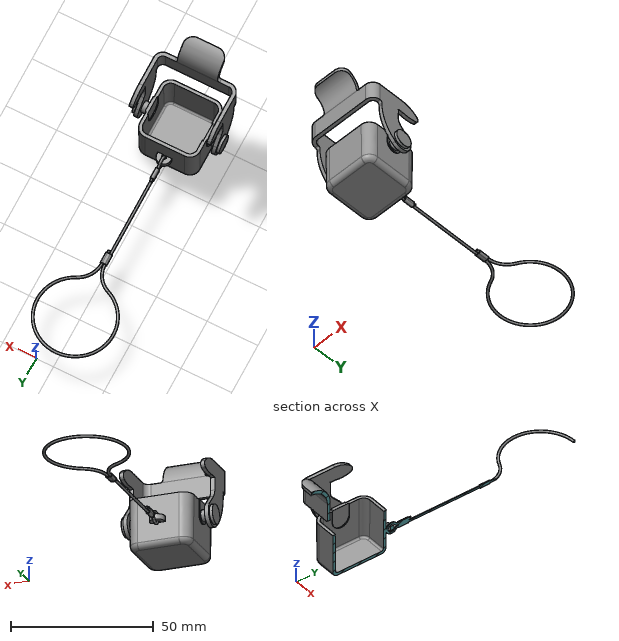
import cadquery as cq
import math


cap_width = 23.8
cap_height = 18.9
cap_corner_radius = 4.1
cap_draft = 0.4
cap_bottom_fillet = 2.1
wall = 1.3
cavity_draft = 0.5
cavity_fillet = 0.8
floor_thickness = 1.4

hinge_z = 13.8
pin_diameter = 4.4
pin_head_diameter = 7.2
pin_span = 34.3
pad_span = 24.5
pad_radius = 3.0
pad_recess_radius = 3.7
pad_recess_depth = 0.4

lever_span = 32.1
sheet = 1.5
lever_front_y = -14.4
lever_top_z = 34.5
band_bottom_z = 26.4
bend_radius = 3.6
eye_radius = 4.5
arm_back_y = -1.6
arm_front_y = -9.8
arm_round_z = 23.7
arm_back_radius = 4.1
arm_notch_radius = 0.9
arm_curve_z = 24.7
arm_front_bow = (-8.4, 17.4)
beak_start = (0, lever_top_z)
beak_crest = (4.0, 33.8)
beak_tip_top = (7.6, 31.4)
beak_tip = (8.1, 29.9)
beak_tip_bottom = (7.0, 28.9)
beak_belly = (3.5, 28.3)
beak_end = (0.7, 28.5)

tab_width = 15.9
tab_foot = 0.9
tab_radius = 8.5
tab_tip_y = lever_front_y + sheet - tab_radius
tab_top_z = lever_top_z + tab_radius
tab_corner_radius = 3.9

wire_diameter = 1.0
wire_z = 9.0
strand_gap = 1.11
ferrule_length = 4.3
ferrule_diameter = 1.5
strand_tail = 1.0
lug_radius = 2.8
lug_y = 12.5
lug_thickness = 2.0
lug_hole_diameter = 1.8
lug_hole_y = 12.6
small_loop_radius = 2.0
small_loop_y = 14.3
small_ferrule_y = 17.4
big_loop_radius = 15.0
big_loop_x = 0.18
big_ferrule_y = 57.7
tether_end_y = tab_tip_y + 116.8


def rounded_prism(width, radius, height, draft):
    """Square prism hanging down from the cap rim, narrowing by the draft angle."""
    return (
        cq.Workplane("XY", origin=(0, 0, cap_height))
        .sketch()
        .rect(width, width)
        .vertices()
        .fillet(radius)
        .finalize()
        .extrude(-height, taper=draft)
    )


def pin_pad(radius, span):
    """Bar along X, round below the hinge axis and straight up to the cap rim."""
    return (
        cq.Workplane("YZ")
        .moveTo(-radius, cap_height)
        .lineTo(-radius, hinge_z)
        .threePointArc((0, hinge_z - radius), (radius, hinge_z))
        .lineTo(radius, cap_height)
        .close()
        .extrude(span / 2, both=True)
    )


def make_cap():
    body = rounded_prism(cap_width, cap_corner_radius, cap_height, cap_draft)
    body = body.faces("<Z").edges().fillet(cap_bottom_fillet)
    cavity_width = cap_width - 2 * wall
    cavity = rounded_prism(
        cavity_width, cap_corner_radius - wall, cap_height - floor_thickness, cavity_draft
    )
    cavity = cavity.faces("<Z").edges().fillet(cavity_fillet)
    pad_recess = pin_pad(pad_recess_radius, cavity_width + 2 * pad_recess_depth)
    return body.union(pin_pad(pad_radius, pad_span)).cut(cavity).cut(pad_recess)


def x_cylinder(diameter, x_start, length):
    return (
        cq.Workplane("YZ", origin=(x_start, 0, hinge_z))
        .circle(diameter / 2)
        .extrude(length)
    )


def make_pin():
    """Pin on the +X side, from the cap wall out to its head."""
    root_x = cap_width / 2 - wall / 2
    shank = x_cylinder(pin_diameter, root_x, lever_span / 2 - root_x)
    head = x_cylinder(pin_head_diameter, lever_span / 2, (pin_span - lever_span) / 2)
    return shank.union(head)


def lever_side():
    """Side outline of both arms and the front band, swept across the full lever width."""
    half = math.sqrt(0.5)
    eye_back = (eye_radius * half, hinge_z + eye_radius * half)
    back_center_y = arm_back_y + arm_back_radius
    back_mid = (
        back_center_y - arm_back_radius * math.cos(math.pi / 8),
        arm_round_z - arm_back_radius * math.sin(math.pi / 8),
    )
    back_end = (back_center_y - arm_back_radius * half, arm_round_z - arm_back_radius * half)
    notch_mid = (
        arm_front_y - arm_notch_radius * (1 - half),
        band_bottom_z - arm_notch_radius * (1 - half),
    )
    eye_front = (-eye_radius * half, hinge_z - eye_radius * half)
    return (
        cq.Workplane("YZ")
        .moveTo(lever_front_y, lever_top_z)
        .lineTo(*beak_start)
        .threePointArc(beak_crest, beak_tip_top)
        .threePointArc(beak_tip, beak_tip_bottom)
        .threePointArc(beak_belly, beak_end)
        .lineTo(arm_back_y, beak_end[1])
        .lineTo(arm_back_y, arm_round_z)
        .threePointArc(back_mid, back_end)
        .lineTo(*eye_back)
        .threePointArc((eye_radius * half, hinge_z - eye_radius * half), eye_front)
        .threePointArc(arm_front_bow, (arm_front_y, arm_curve_z))
        .lineTo(arm_front_y, band_bottom_z - arm_notch_radius)
        .threePointArc(notch_mid, (arm_front_y - arm_notch_radius, band_bottom_z))
        .lineTo(lever_front_y, band_bottom_z)
        .close()
        .extrude(lever_span / 2, both=True)
    )


def make_lever():
    back_y = 2 * eye_radius
    length = back_y - lever_front_y

    def block(inset, radius):
        return (
            cq.Workplane("XY")
            .center(0, lever_front_y + inset + length / 2)
            .rect(lever_span - 2 * inset, length)
            .extrude(lever_top_z)
            .edges("|Z and <Y")
            .fillet(radius)
        )

    bent_sheet = block(0, bend_radius).cut(block(sheet, bend_radius - sheet))
    return lever_side().intersect(bent_sheet)


def make_tab():
    """Quarter-round thumb tab that flares into the top edge of the band."""
    center_y = lever_front_y + sheet - tab_radius
    inner_radius = tab_radius - sheet
    half = math.sqrt(0.5)

    def arc_point(radius):
        return (center_y + radius * half, lever_top_z + radius * half)

    curved_sheet = (
        cq.Workplane("YZ")
        .moveTo(center_y + tab_radius, lever_top_z)
        .threePointArc(arc_point(tab_radius), (center_y, tab_top_z))
        .lineTo(center_y, tab_top_z - sheet)
        .threePointArc(arc_point(inner_radius), (center_y + inner_radius, lever_top_z))
        .close()
        .extrude(tab_width / 2 + tab_foot, both=True)
    )
    edge_x = tab_width / 2
    outline = (
        cq.Workplane("XZ", origin=(0, lever_front_y + sheet, 0))
        .moveTo(-edge_x - tab_foot, lever_top_z)
        .radiusArc((-edge_x, lever_top_z + tab_foot), -tab_foot)
        .lineTo(-edge_x, tab_top_z)
        .lineTo(edge_x, tab_top_z)
        .lineTo(edge_x, lever_top_z + tab_foot)
        .radiusArc((edge_x + tab_foot, lever_top_z), -tab_foot)
        .close()
        .extrude(tab_radius)
    )
    tab = curved_sheet.intersect(outline)
    return tab.faces("<Y").edges("|Z").fillet(tab_corner_radius)


def make_lug():
    lug_z = wire_z + strand_gap / 2
    root_y = cap_width / 2 - wall / 2
    plate = (
        cq.Workplane("XY", origin=(0, 0, lug_z - lug_thickness / 2))
        .moveTo(-lug_radius, root_y)
        .lineTo(-lug_radius, lug_y)
        .threePointArc((0, lug_y + lug_radius), (lug_radius, lug_y))
        .lineTo(lug_radius, root_y)
        .close()
        .extrude(lug_thickness)
    )
    hole = (
        cq.Workplane("XY", origin=(0, lug_hole_y, 0))
        .circle(lug_hole_diameter / 2)
        .extrude(cap_height)
    )
    return plate.cut(hole)


def make_noose(center, radius, neck):
    """Wire loop in XY whose two ends curve into parallel strands along -Y.

    The strands start at x = 0 and x = strand_gap on the line y = neck.
    """
    center_x, center_y = center
    rise = center_y - neck

    def flare(strand_x, side):
        """Start, middle and end of the arc from a strand to the loop, tangent to both."""
        offset = side * (strand_x - center_x)
        bend = (rise**2 + offset**2 - radius**2) / (2 * (radius - offset))
        bend_x = strand_x + side * bend
        angle = math.atan2(rise, abs(center_x - bend_x))
        middle = (
            bend_x - side * bend * math.cos(angle / 2),
            neck + bend * math.sin(angle / 2),
        )
        end = (bend_x - side * bend * math.cos(angle), neck + bend * math.sin(angle))
        return middle, end

    left_middle, left_end = flare(0, -1)
    right_middle, right_end = flare(strand_gap, 1)
    tail_y = neck - ferrule_length - strand_tail
    path = (
        cq.Workplane("XY")
        .moveTo(0, tail_y)
        .lineTo(0, neck)
        .threePointArc(left_middle, left_end)
        .threePointArc((center_x, center_y + radius), right_end)
        .threePointArc(right_middle, (strand_gap, neck))
        .lineTo(strand_gap, tail_y)
    )
    wire = (
        cq.Workplane("XZ", origin=(0, tail_y, 0))
        .circle(wire_diameter / 2)
        .sweep(path, transition="round")
    )
    ferrule = (
        cq.Workplane("XZ", origin=(strand_gap / 2, neck, 0))
        .slot2D(strand_gap + ferrule_diameter, ferrule_diameter)
        .extrude(ferrule_length)
    )
    return wire.union(ferrule)


def make_tether():
    big_center_y = tether_end_y - big_loop_radius - wire_diameter / 2
    big_noose = make_noose((big_loop_x, big_center_y), big_loop_radius, big_ferrule_y)
    big_noose = big_noose.translate((0, 0, wire_z))

    small_noose = make_noose((strand_gap / 2, -small_loop_y), small_loop_radius, -small_ferrule_y)
    small_noose = small_noose.rotate((0, 0, 0), (0, 0, 1), 180)
    small_noose = small_noose.rotate((0, 0, 0), (0, 1, 0), 90)
    small_noose = small_noose.translate((0, 0, wire_z))

    line_start_y = small_ferrule_y + ferrule_length / 2
    line_end_y = big_ferrule_y - ferrule_length / 2
    line = (
        cq.Workplane("XZ", origin=(0, line_start_y, wire_z))
        .circle(wire_diameter / 2)
        .extrude(line_start_y - line_end_y)
    )
    return line.union(big_noose).union(small_noose)


right_pin = make_pin()
left_pin = right_pin.mirror("YZ")
result = (
    make_cap()
    .union(make_lug())
    .union(right_pin)
    .union(left_pin)
    .union(make_lever())
    .union(make_tab())
    .union(make_tether())
)